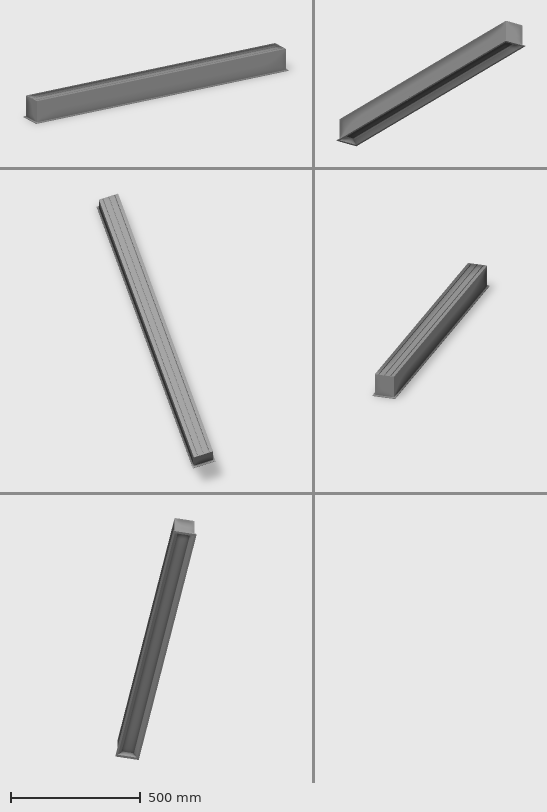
import cadquery as cq

length = 1146.0
flange_width = 92.0
height = 90.0

flange_thickness = 3.0
side_overhang = 7.0
end_overhang = 8.0

body_width = flange_width - 2 * side_overhang
body_length = length - 2 * end_overhang
end_plate_thickness = 2.0
inner_length = body_length - 2 * end_plate_thickness

groove_pitch = 24.0
groove_width = 3.0
side_groove_depth = 7.0
middle_groove_depth = 3.0

channel_top_width = 2 * groove_pitch
channel_bottom_width = 76.0
channel_height = 24.0
flare_height = 17.0


def make_block(width, depth, bottom, top):
    """Box centred on the Z axis, between two heights."""
    block = cq.Workplane("XY").workplane(offset=bottom).rect(width, depth)
    return block.extrude(top - bottom)


def make_groove(x, depth):
    """Groove running along Y at the given X, cut down from the top face."""
    groove = make_block(groove_width, inner_length, height - depth, height)
    return groove.translate((x, 0, 0))


def make_channel():
    """Space inside the bottom of the housing, between the end plates."""
    half_top = channel_top_width / 2
    half_bottom = channel_bottom_width / 2
    outline = [
        (-half_bottom, 0),
        (half_bottom, 0),
        (half_top, flare_height),
        (half_top, channel_height),
        (-half_top, channel_height),
        (-half_top, flare_height),
    ]
    section = cq.Workplane("XZ").polyline(outline).close()
    return section.extrude(inner_length / 2, both=True)


flange = make_block(flange_width, length, 0, flange_thickness)
body = make_block(body_width, body_length, 0, height)
result = flange.union(body).cut(make_channel())

result = result.cut(make_groove(0, middle_groove_depth))
for side in (-1, 1):
    result = result.cut(make_groove(side * groove_pitch, side_groove_depth))